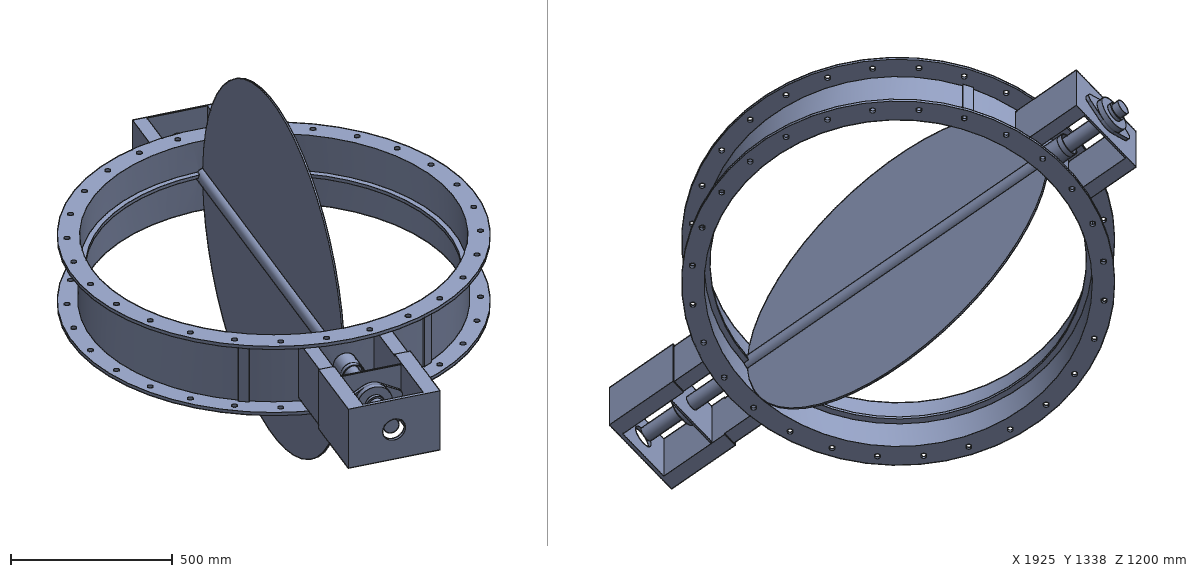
import cadquery as cq
import math

duct_bore_d = 1200.0
shell_wall = 5.0
shell_r = duct_bore_d / 2 + shell_wall
duct_height = 250.0
flange_d = 1338.0
flange_thickness = 12.0
bolt_count = 28
bolt_circle_r = 640.0
bolt_hole_d = 18.0

strip_width = 35.0
strip_thickness = 5.0
strip_angles = (30, 150, 210, 330)

seat_inner_r = 581.0
seat_near_z = 4.0
seat_thickness = 12.0

blade_d = duct_bore_d
blade_thickness = 5.0
shaft_d = 50.0
shaft_start_x = -897.0
shaft_end_x = 1005.0

gland_d = 75.0
gland_bore_d = 70.0
gland_bore_depth = 20.0
gland_end_x = 681.0

bar_inner_y = 100.0
bar_width = 46.0
bar_height = 202.0
bracket_end_x = 830.0
plate_thickness = 5.0

cover_start_x = 774.0
cover_end_x = 1028.0
cover_wall = 5.0
cover_height = bar_height + 2 * cover_wall
cover_plate_thickness = 12.0
cover_hole_d = 75.0

bearing_base_thickness = 12.0
bearing_base_half_length = bar_inner_y
bearing_ear_r = 20.0
bearing_boss_d = 117.0
bearing_boss_length = 30.0
collar_d = 62.0
collar_length = 42.0


def x_cylinder(diameter, x_start, x_end):
    """Round bar on the X axis."""
    return cq.Workplane("YZ", origin=(x_start, 0, 0)).circle(diameter / 2).extrude(x_end - x_start)


def box_between(x_range, y_range, height):
    """Box from its X and Y limits, centred on Z = 0."""
    (x_start, x_end), (y_start, y_end) = x_range, y_range
    centre = ((x_start + x_end) / 2, (y_start + y_end) / 2, 0)
    return cq.Workplane("XY", origin=centre).box(x_end - x_start, y_end - y_start, height)


def tube(outer_r, inner_r, z_start, height):
    """Hollow cylinder on the Z axis."""
    return cq.Workplane("XY", origin=(0, 0, z_start)).circle(outer_r).circle(inner_r).extrude(height)


def flange(z_start):
    """Drilled end flange, with no hole on the shaft axis."""
    half_pitch = 180 / bolt_count
    holes = (
        cq.Workplane("XY", origin=(0, 0, z_start))
        .polarArray(bolt_circle_r, half_pitch, 360, bolt_count)
        .circle(bolt_hole_d / 2)
        .extrude(flange_thickness)
    )
    return tube(flange_d / 2, duct_bore_d / 2, z_start, flange_thickness).cut(holes)


def duct():
    """Shell, flanges and name-plate strips."""
    half_height = duct_height / 2
    body = tube(shell_r, duct_bore_d / 2, -half_height, duct_height)
    body = body.union(flange(-half_height)).union(flange(half_height - flange_thickness))
    strip_depth = strip_thickness + shell_wall / 2
    strip_centre_x = shell_r + strip_thickness - strip_depth / 2
    strip = cq.Workplane("XY").box(strip_depth, strip_width, duct_height - 2 * flange_thickness)
    strip = strip.translate((strip_centre_x, 0, 0))
    for angle in strip_angles:
        body = body.union(strip.rotate((0, 0, 0), (0, 0, 1), angle))
    return body


def seat(side):
    """Half-ring seat: below the blade plane on +Y (side 1), above it on -Y (side -1)."""
    outer_r = duct_bore_d / 2
    z_start = -seat_near_z - seat_thickness if side > 0 else seat_near_z
    half_space = box_between((-outer_r, outer_r), sorted((0, side * outer_r)), duct_height)
    return tube(outer_r, seat_inner_r, z_start, seat_thickness).intersect(half_space)


def blade_and_shaft():
    blade = cq.Workplane("XZ").circle(blade_d / 2).extrude(blade_thickness / 2, both=True)
    return blade.union(x_cylinder(shaft_d, shaft_start_x, shaft_end_x))


def side_bars(x_start, x_end, width, height):
    """Pair of equal bars along X, one on each side of the shaft."""
    bars = cq.Workplane("XY")
    for side in (-1, 1):
        y_range = sorted((side * bar_inner_y, side * (bar_inner_y + width)))
        bars = bars.union(box_between((x_start, x_end), y_range, height))
    return bars


def bearing_base():
    """Oval two-ear plate, as tangent lines from the boss circle to the rounded ears."""
    boss_r = bearing_boss_d / 2
    ear_y = bearing_base_half_length - bearing_ear_r
    slope = math.asin((boss_r - bearing_ear_r) / ear_y)
    boss_tangent = (boss_r * math.sin(slope), boss_r * math.cos(slope))
    ear_tangent = (ear_y + bearing_ear_r * math.sin(slope), bearing_ear_r * math.cos(slope))
    outline = (
        cq.Workplane("YZ", origin=(bracket_end_x, 0, 0))
        .moveTo(-boss_tangent[0], boss_tangent[1])
        .threePointArc((0, boss_r), boss_tangent)
        .lineTo(*ear_tangent)
        .threePointArc((bearing_base_half_length, 0), (ear_tangent[0], -ear_tangent[1]))
        .lineTo(boss_tangent[0], -boss_tangent[1])
        .threePointArc((0, -boss_r), (-boss_tangent[0], -boss_tangent[1]))
        .lineTo(-ear_tangent[0], -ear_tangent[1])
        .threePointArc((-bearing_base_half_length, 0), (-ear_tangent[0], ear_tangent[1]))
        .close()
    )
    return outline.extrude(bearing_base_thickness)


def bracket():
    """Bracket on the +X side with its cross plate, bearing and shaft gland."""
    plate = box_between(
        (bracket_end_x - plate_thickness, bracket_end_x), (-bar_inner_y, bar_inner_y), bar_height
    )
    duct_space = cq.Workplane("XY").circle(duct_bore_d / 2).extrude(duct_height / 2, both=True)
    return (
        side_bars(0, bracket_end_x, bar_width, bar_height)
        .union(x_cylinder(gland_d, 0, gland_end_x))
        .cut(x_cylinder(gland_bore_d, gland_end_x - gland_bore_depth, gland_end_x))
        .cut(duct_space)
        .union(plate)
        .union(bearing_base())
        .union(x_cylinder(bearing_boss_d, bracket_end_x, bracket_end_x + bearing_boss_length))
        .union(x_cylinder(collar_d, bracket_end_x, bracket_end_x + collar_length))
    )


def drive_cover():
    """Cover on the end of the +X bracket, open above and below."""
    bars = side_bars(cover_start_x, cover_end_x, bar_width + cover_wall, cover_height)
    plate_start_x = cover_end_x - cover_plate_thickness
    plate = box_between((plate_start_x, cover_end_x), (-bar_inner_y, bar_inner_y), cover_height)
    return bars.union(plate.cut(x_cylinder(cover_hole_d, plate_start_x, cover_end_x)))


result = (
    duct()
    .union(seat(1))
    .union(seat(-1))
    .union(bracket())
    .union(bracket().mirror("YZ"))
    .union(drive_cover())
    .union(blade_and_shaft())
)